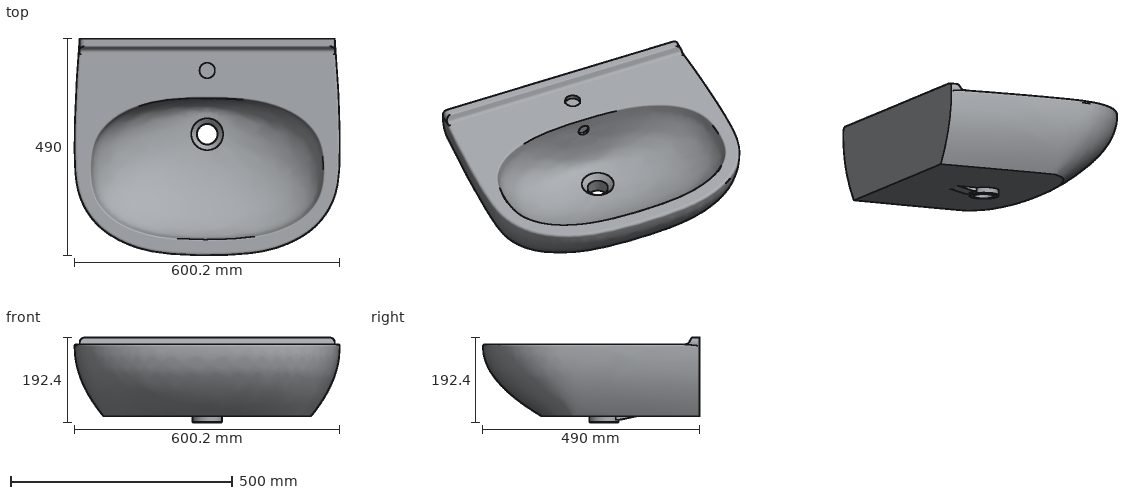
import cadquery as cq
import math


TOTAL_HEIGHT = 192.35
OUTLET_DROP = 14.0
DECK_Z = 163.5
LEDGE_TOP_Z = TOTAL_HEIGHT - OUTLET_DROP

RIM_RADIUS = 6.0
RIM_LAND = 0.1
RIM_Z = DECK_Z - RIM_RADIUS
BODY_HALF_WIDTH = 300.0
BODY_BACK_HALF_WIDTH = 288.5
BODY_DEPTH = 490.0
WIDEST_Y = -262.0
SIDE_INSET = 66.0
BACK_INSET = 56.5
FRONT_INSET = 133.0
RIM_EXPONENT = 2.6
UNDERSIDE_EXPONENT = 2.35
BODY_SECTIONS = 6

LEDGE_TOP_DEPTH = 18.0
LEDGE_FOOT_DEPTH = 26.0
LEDGE_NOSE_RADIUS = 4.0
LEDGE_COVE_RADIUS = 9.0
LEDGE_END_RADIUS = 12.0

BOWL_HALF_WIDTH = 263.0
BOWL_BACK_Y = -134.0
BOWL_FRONT_Y = -454.5
BOWL_CENTRE_Y = -295.0
BOWL_FLOOR_Z = 28.0
BOWL_EXPONENT = 2.5
CIRCLE_EXPONENT = 2.0
BOWL_WALL_EXPONENT = 1.7
BOWL_BACK_EXPONENT = 0.3
BOWL_LIP_RADIUS = 3.5
BOWL_SPREADS = (0.35, 0.5, 0.65, 0.8, 0.9, 1.0)

DRAIN_Y = -216.0
DRAIN_HOLE_DIAMETER = 46.0
DRAIN_SEAT_DIAMETER = 72.0
DRAIN_SEAT_Z = 30.0
DRAIN_SEAT_DEPTH = 12.0
OUTLET_DIAMETER = 67.0
OUTLET_EDGE_CHAMFER = 2.0
CHANNEL_START_Y = -142.0
CHANNEL_END_Y = -180.0
CHANNEL_DROP = 8.0
CHANNEL_WIDTH = 40.0

TAP_Y = -72.0
TAP_DIAMETER = 35.0
TAP_DEPTH = 10.0
OVERFLOW_DIAMETER = 25.0
OVERFLOW_Z = 127.5
OVERFLOW_END_Y = -130.0
OVERFLOW_LENGTH = 30.0

QUARTER_STEPS = 6


def superellipse_point(angle, half_x, half_y, exponent):
    """Point of a superellipse centred on the origin, for an angle in radians."""
    cosine = math.cos(angle)
    sine = math.sin(angle)
    x = math.copysign(half_x * abs(cosine) ** (2 / exponent), cosine)
    y = math.copysign(half_y * abs(sine) ** (2 / exponent), sine)
    return x, y


def body_section(z):
    """Outline of the body at height z: a wall edge and one curve around the front."""
    taper = ((RIM_Z - z) / RIM_Z) ** 2
    half_width = BODY_HALF_WIDTH - SIDE_INSET * taper
    back_half_width = BODY_BACK_HALF_WIDTH - BACK_INSET * taper
    front_depth = BODY_DEPTH - FRONT_INSET * taper + WIDEST_Y
    exponent = RIM_EXPONENT + (UNDERSIDE_EXPONENT - RIM_EXPONENT) * taper
    points = []
    for step in range(2 * QUARTER_STEPS + 1):
        angle = -math.pi * step / (2 * QUARTER_STEPS)
        x, y = superellipse_point(angle, half_width, front_depth, exponent)
        points.append((x, y + WIDEST_Y))
    middle_x = half_width - (half_width - back_half_width) / 4
    right = [(back_half_width, 0), (middle_x, WIDEST_Y / 2)]
    left = [(-middle_x, WIDEST_Y / 2), (-back_half_width, 0)]
    outline = [cq.Vector(x, y, z) for x, y in right + points + left]
    curve = cq.Edge.makeSpline(outline, parameters=range(len(outline)))
    wall_edge = cq.Edge.makeLine(curve.endPoint(), curve.startPoint())
    return cq.Wire.assembleEdges([curve, wall_edge])


def make_body():
    heights = [RIM_Z * i / (BODY_SECTIONS - 1) for i in range(BODY_SECTIONS)]
    skirt = cq.Workplane(cq.Solid.makeLoft([body_section(z) for z in heights]))
    rim_face = cq.Face.makeFromWires(body_section(RIM_Z))
    rim = cq.Workplane(cq.Solid.extrudeLinear(rim_face, cq.Vector(0, 0, RIM_RADIUS)))
    rim = rim.faces(">Z").edges("not(>Y)").fillet(RIM_RADIUS - RIM_LAND)
    return skirt.union(rim)


def make_ledge():
    cove_end = LEDGE_FOOT_DEPTH + LEDGE_COVE_RADIUS
    profile = (
        cq.Workplane("YZ")
        .moveTo(0, RIM_Z)
        .lineTo(-cove_end, RIM_Z)
        .lineTo(-cove_end, DECK_Z)
        .lineTo(-LEDGE_FOOT_DEPTH, DECK_Z)
        .lineTo(-LEDGE_TOP_DEPTH, LEDGE_TOP_Z)
        .lineTo(0, LEDGE_TOP_Z)
        .close()
        .extrude(BODY_BACK_HALF_WIDTH, both=True)
    )
    nose = cq.NearestToPointSelector((0, -LEDGE_TOP_DEPTH, LEDGE_TOP_Z))
    cove = cq.NearestToPointSelector((0, -LEDGE_FOOT_DEPTH, DECK_Z))
    profile = profile.edges(nose).fillet(LEDGE_NOSE_RADIUS)
    profile = profile.edges(cove).fillet(LEDGE_COVE_RADIUS)
    envelope = (
        cq.Workplane("XY", origin=(0, -cove_end / 2, RIM_Z))
        .rect(2 * BODY_BACK_HALF_WIDTH, cove_end)
        .extrude(LEDGE_TOP_Z - RIM_Z)
        .edges(">Z and |Y")
        .fillet(LEDGE_END_RADIUS)
    )
    return profile.intersect(envelope)


def bowl_height(spread):
    """Height at which the bowl has reached the given share of its full half width."""
    rise = 1 - (1 - spread**2) ** (1 / BOWL_WALL_EXPONENT)
    return BOWL_FLOOR_Z + (DECK_Z - BOWL_FLOOR_Z) * rise


def bowl_outline(z, half_width, centre_y, back_y, front_y, exponent):
    """Closed oval with separate depths in front of and behind its widest place."""
    points = []
    for step in range(4 * QUARTER_STEPS):
        angle = math.pi * step / (2 * QUARTER_STEPS)
        half_depth = back_y - centre_y if angle < math.pi else centre_y - front_y
        x, y = superellipse_point(angle, half_width, half_depth, exponent)
        points.append(cq.Vector(x, y + centre_y, z))
    curve = cq.Edge.makeSpline(points, periodic=True, parameters=range(len(points) + 1))
    return cq.Wire.assembleEdges([curve])


def bowl_section(spread):
    """Bowl outline for a share of the full half width."""
    return bowl_outline(
        bowl_height(spread),
        BOWL_HALF_WIDTH * spread,
        DRAIN_Y + (BOWL_CENTRE_Y - DRAIN_Y) * spread,
        DRAIN_Y + (BOWL_BACK_Y - DRAIN_Y) * spread**BOWL_BACK_EXPONENT,
        DRAIN_Y + (BOWL_FRONT_Y - DRAIN_Y) * spread,
        CIRCLE_EXPONENT + (BOWL_EXPONENT - CIRCLE_EXPONENT) * spread**2,
    )


def make_bowl():
    """Smooth bowl rising from the round drain seat to the oval opening."""
    seat_radius = DRAIN_SEAT_DIAMETER / 2
    seat_outline = bowl_outline(
        DRAIN_SEAT_Z,
        seat_radius,
        DRAIN_Y,
        DRAIN_Y + seat_radius,
        DRAIN_Y - seat_radius,
        CIRCLE_EXPONENT,
    )
    sections = [seat_outline] + [bowl_section(spread) for spread in BOWL_SPREADS]
    return cq.Workplane(cq.Solid.makeLoft(sections))


def make_outlet():
    """Outlet spigot with the sloping end of the overflow channel running into it."""
    spigot = (
        cq.Workplane("XY", origin=(0, DRAIN_Y, -OUTLET_DROP))
        .circle(OUTLET_DIAMETER / 2)
        .extrude(OUTLET_DROP)
        .faces("<Z")
        .edges()
        .chamfer(OUTLET_EDGE_CHAMFER)
    )
    channel = (
        cq.Workplane("YZ")
        .moveTo(CHANNEL_START_Y, 0)
        .lineTo(CHANNEL_END_Y, -CHANNEL_DROP)
        .lineTo(DRAIN_Y, -CHANNEL_DROP)
        .lineTo(DRAIN_Y, 0)
        .close()
        .extrude(CHANNEL_WIDTH / 2, both=True)
    )
    return spigot.union(channel)


def make_drain():
    """Through hole with a conical seat sunk into the bowl floor."""
    hole = (
        cq.Workplane("XY", origin=(0, DRAIN_Y, -OUTLET_DROP))
        .circle(DRAIN_HOLE_DIAMETER / 2)
        .extrude(OUTLET_DROP + DRAIN_SEAT_Z)
    )
    seat = cq.Solid.makeCone(
        DRAIN_HOLE_DIAMETER / 2,
        DRAIN_SEAT_DIAMETER / 2,
        DRAIN_SEAT_DEPTH,
        cq.Vector(0, DRAIN_Y, DRAIN_SEAT_Z - DRAIN_SEAT_DEPTH),
    )
    return hole.union(cq.Workplane(seat))


def make_tap_hole():
    return (
        cq.Workplane("XY", origin=(0, TAP_Y, DECK_Z - TAP_DEPTH))
        .circle(TAP_DIAMETER / 2)
        .extrude(TAP_DEPTH)
    )


def make_overflow_hole():
    """Blind hole in the back wall of the bowl, started from inside the bowl."""
    return (
        cq.Workplane("XZ", origin=(0, OVERFLOW_END_Y, OVERFLOW_Z))
        .circle(OVERFLOW_DIAMETER / 2)
        .extrude(OVERFLOW_LENGTH)
    )


basin = make_body().union(make_ledge()).cut(make_bowl())
lip = cq.NearestToPointSelector((0, BOWL_CENTRE_Y, DECK_Z))
basin = basin.edges(lip).fillet(BOWL_LIP_RADIUS)
basin = basin.union(make_outlet())
result = basin.cut(make_drain()).cut(make_tap_hole()).cut(make_overflow_hole())